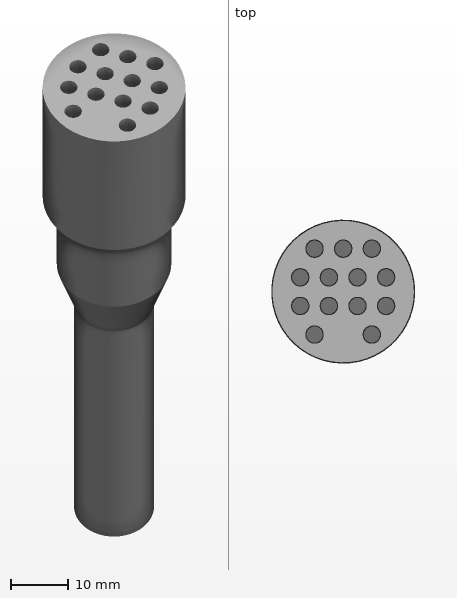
import cadquery as cq

total_length = 112.0
shaft_diameter = 14.0
shaft_length = 55.0
taper_length = 10.0
sleeve_diameter = 20.0
sleeve_length = 18.0
head_diameter = 25.0
taper_top = shaft_length + taper_length
sleeve_top = taper_top + sleeve_length

hole_diameter = 3.0
hole_depth = 10.0
hole_field_span = 15.0
row_count = 4
hole_pitch = hole_field_span / (row_count - 1)

hole_rows = [
    [-1, 0, 1],
    [-1.5, -0.5, 0.5, 1.5],
    [-1.5, -0.5, 0.5, 1.5],
    [-1, 1],
]


def make_body():
    """Revolve the half profile of shaft, taper, sleeve and head about Z."""
    shaft_radius = shaft_diameter / 2
    sleeve_radius = sleeve_diameter / 2
    head_radius = head_diameter / 2
    profile = [
        (0, 0),
        (shaft_radius, 0),
        (shaft_radius, shaft_length),
        (sleeve_radius, taper_top),
        (sleeve_radius, sleeve_top),
        (head_radius, sleeve_top),
        (head_radius, total_length),
        (0, total_length),
    ]
    return cq.Workplane("XZ").polyline(profile).close().revolve(360, (0, 0), (0, 1))


def contact_hole_centres():
    """Return the XY centres of all contact holes."""
    centres = []
    for row, columns in enumerate(hole_rows):
        y = hole_field_span / 2 - row * hole_pitch
        centres += [(column * hole_pitch, y) for column in columns]
    return centres


def make_contact_holes():
    """Cylinders running down from the top face."""
    return (
        cq.Workplane("XY", origin=(0, 0, total_length))
        .pushPoints(contact_hole_centres())
        .circle(hole_diameter / 2)
        .extrude(-hole_depth)
    )


result = make_body().cut(make_contact_holes())